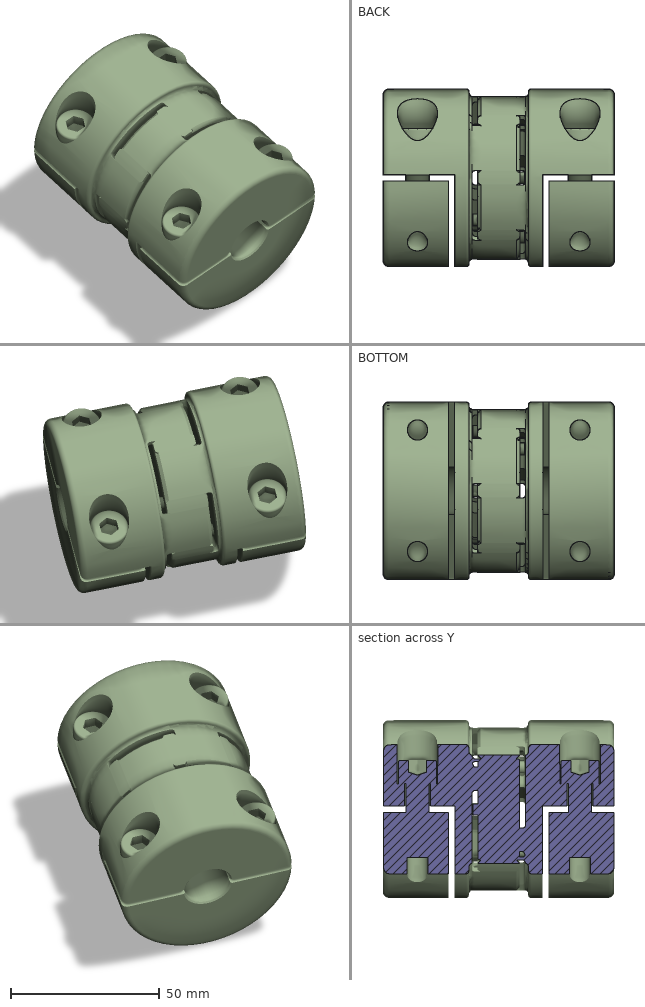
import math

import cadquery as cq

total_length = 78.0
hub_diameter = 60.0
body_diameter = 55.0
bore_diameter = 16.0
through_bore_diameter = 12.5
hub_radius = hub_diameter / 2
body_radius = body_diameter / 2
half_length = total_length / 2

body_face_x = 7.1
flange_face_x = 9.0
hub_shoulder_x = 10.0

outer_fillet = 2.0
shoulder_fillet = 1.0
root_fillet = hub_shoulder_x - flange_face_x
bore_chamfer = 0.5

slit_width = 2.0
clamp_width = 22.1
clamp_inner_x = half_length - clamp_width

screw_x = 27.4
screw_y = 20.5
head_top_z = 16.6
head_height = 8.0
seat_z = head_top_z - head_height
head_diameter = 13.0
head_edge = 0.7
counterbore_diameter = 13.5
clearance_diameter = 8.6
shank_diameter = 8.0
screw_length = 25.0
tapped_diameter = 6.8
hex_across_flats = 6.0
hex_depth = 4.0
drill_point_depth = 1.0

lobe_count = 4
lobe_step = 360.0 / lobe_count
ear_step = lobe_step / 2
ear_half_width = 2.4
lobe_corner_offset = 3.7
lobe_corner_radius = 26.0
lobe_wall_radius = 25.5
lobe_tip_radius = 19.5
lobe_base_fillet = 1.0
gap_overshoot = 1.0
body_chamfer = 1.1
ear_chamfer = 0.75
pin_diameter = 4.0
pin_circle_radius = 20.0
pin_length = 1.6


def x_cylinder(diameter, start, end):
    return cq.Workplane("YZ").workplane(offset=start).circle(diameter / 2).extrude(end - start)


def z_cylinder(diameter, bottom, top):
    return cq.Workplane("XY").workplane(offset=bottom).circle(diameter / 2).extrude(top - bottom)


def turn(shape, angle):
    return shape.rotate((0, 0, 0), (1, 0, 0), angle)


def on_spoke(across, radial, angle):
    """Point given across and along a spoke standing at an angle in the YZ plane."""
    a = math.radians(angle)
    return (radial * math.cos(a) - across * math.sin(a), radial * math.sin(a) + across * math.cos(a))


def make_hub():
    """Turned hub with rounded end, rounded shoulder and filleted flange on the +X side."""
    arc_part = math.sqrt(0.5)
    end_round = outer_fillet * (1 - arc_part)
    shoulder_round = shoulder_fillet * (1 - arc_part)
    root_mid = root_fillet * (1 - arc_part)
    profile = (
        cq.Workplane("XY")
        .moveTo(flange_face_x, 0)
        .lineTo(flange_face_x, body_radius)
        .threePointArc(
            (hub_shoulder_x - root_mid, body_radius + root_mid),
            (hub_shoulder_x, body_radius + root_fillet),
        )
        .lineTo(hub_shoulder_x, hub_radius - shoulder_fillet)
        .threePointArc(
            (hub_shoulder_x + shoulder_round, hub_radius - shoulder_round),
            (hub_shoulder_x + shoulder_fillet, hub_radius),
        )
        .lineTo(half_length - outer_fillet, hub_radius)
        .threePointArc(
            (half_length - end_round, hub_radius - end_round),
            (half_length, hub_radius - outer_fillet),
        )
        .lineTo(half_length, 0)
        .close()
    )
    return profile.revolve(360, (0, 0, 0), (1, 0, 0))


def cut_bore(hub):
    """Cut the clamp bore with its chamfered mouth and the narrower bore behind it."""
    hub = hub.cut(x_cylinder(through_bore_diameter, flange_face_x, half_length))
    hub = hub.cut(x_cylinder(bore_diameter, clamp_inner_x - slit_width, half_length))
    mouth = cq.Workplane("YZ").workplane(offset=half_length).circle(bore_diameter / 2 + bore_chamfer)
    mouth = mouth.workplane(offset=-bore_chamfer).circle(bore_diameter / 2).loft()
    return hub.cut(mouth)


def cut_slits(hub):
    """Cut the L-shaped slit that frees the lower half of the clamp."""
    level_length = clamp_width + slit_width
    level = cq.Workplane("XY").box(level_length, hub_diameter, slit_width, centered=(False, True, True))
    upright_height = hub_radius + slit_width / 2
    upright = (
        cq.Workplane("XY")
        .box(slit_width, hub_diameter, upright_height, centered=(False, True, False))
        .translate((0, 0, -hub_radius))
    )
    return hub.cut(level.union(upright).translate((clamp_inner_x - slit_width, 0, 0)))


def make_screw():
    """Socket head screw along Z, with its head on top."""
    head = z_cylinder(head_diameter, seat_z, head_top_z).faces(">Z").edges().fillet(head_edge)
    hex_corners = hex_across_flats / math.cos(math.radians(30))
    socket = (
        cq.Workplane("XY")
        .workplane(offset=head_top_z - hex_depth)
        .polygon(6, hex_corners)
        .extrude(hex_depth)
        .rotate((0, 0, 0), (0, 0, 1), 90)
    )
    point = cq.Solid.makeCone(
        hex_across_flats / 2,
        0,
        drill_point_depth,
        cq.Vector(0, 0, head_top_z - hex_depth),
        cq.Vector(0, 0, -1),
    )
    shank = z_cylinder(shank_diameter, seat_z - screw_length, seat_z)
    return head.union(shank).cut(socket).cut(cq.Workplane(obj=point))


def add_screws(hub):
    """Drill the two screw holes and set a screw in each, tying the clamp halves together."""
    hole = z_cylinder(counterbore_diameter, seat_z, hub_radius)
    hole = hole.union(z_cylinder(clearance_diameter, 0, seat_z))
    hole = hole.union(z_cylinder(tapped_diameter, -hub_radius, 0))
    screw = make_screw()
    for side in (-1, 1):
        place = (screw_x, side * screw_y, 0)
        hub = hub.cut(hole.translate(place)).union(screw.translate(place))
    return hub


def make_lobe():
    """Bridge from hub flange to body between the spokes at 0 and 45 degrees, oversize outside."""
    outline = (
        cq.Workplane("YZ")
        .workplane(offset=body_face_x)
        .moveTo(*on_spoke(ear_half_width, hub_radius, 0))
        .lineTo(*on_spoke(0, hub_radius, ear_step / 2))
        .lineTo(*on_spoke(-ear_half_width, hub_radius, ear_step))
        .lineTo(*on_spoke(-ear_half_width, lobe_wall_radius, ear_step))
        .lineTo(*on_spoke(-lobe_corner_offset, lobe_corner_radius, ear_step))
        .lineTo(*on_spoke(0, lobe_tip_radius, ear_step / 2))
        .lineTo(*on_spoke(lobe_corner_offset, lobe_corner_radius, 0))
        .lineTo(*on_spoke(ear_half_width, lobe_wall_radius, 0))
        .close()
    )
    return outline.extrude(flange_face_x - body_face_x)


def make_gap():
    """Open space between the body and the +X hub: a disc less its lobes and pins."""
    gap = x_cylinder(body_diameter + 2 * gap_overshoot, body_face_x, flange_face_x)
    lobe = make_lobe()
    pin = x_cylinder(pin_diameter, body_face_x, body_face_x + pin_length).translate((0, pin_circle_radius, 0))
    for index in range(lobe_count):
        gap = gap.cut(turn(lobe, index * lobe_step))
    gap = gap.faces(">X").edges().fillet(lobe_base_fillet)
    for index in range(lobe_count):
        gap = gap.cut(turn(pin, index * lobe_step + ear_step))
    return gap


def make_pocket_chamfer():
    """Chamfer of the body edge between the spokes at 0 and 45 degrees."""
    edge_angle = math.degrees(math.asin(ear_half_width / body_radius))
    section = (
        cq.Workplane("XY")
        .moveTo(body_face_x, body_radius - body_chamfer)
        .lineTo(body_face_x + body_chamfer, body_radius - body_chamfer)
        .lineTo(body_face_x + body_chamfer, hub_radius)
        .lineTo(body_face_x - body_chamfer - hub_radius + body_radius, hub_radius)
        .close()
    )
    return turn(section.revolve(ear_step - 2 * edge_angle, (0, 0, 0), (1, 0, 0)), edge_angle)


def make_ear_chamfer():
    """Chamfer on the side of the ear at 0 degrees."""
    section = (
        cq.Workplane("XZ")
        .workplane(offset=-hub_radius)
        .moveTo(body_face_x, ear_half_width - ear_chamfer)
        .lineTo(body_face_x, ear_half_width)
        .lineTo(body_face_x - body_chamfer, ear_half_width)
        .close()
    )
    return section.extrude(hub_radius - body_radius + body_chamfer)


def cut_gap(middle):
    """Cut one gap and chamfer the ears and the open pockets of the body beside it."""
    middle = middle.cut(make_gap())
    pocket_chamfer = make_pocket_chamfer()
    ear_side = make_ear_chamfer()
    for index in range(lobe_count):
        middle = middle.cut(turn(pocket_chamfer, index * lobe_step + ear_step))
    for index in range(2 * lobe_count):
        middle = middle.cut(turn(ear_side, index * ear_step))
        middle = middle.cut(turn(ear_side.mirror("XY"), index * ear_step))
    return middle


def make_middle():
    """Middle body with its lobes; the pattern at -X stands one ear step from that at +X."""
    middle = x_cylinder(body_diameter, -flange_face_x, flange_face_x)
    middle = middle.cut(x_cylinder(through_bore_diameter, -flange_face_x, flange_face_x))
    middle = cut_gap(middle)
    middle = turn(middle.mirror("YZ"), ear_step)
    return cut_gap(middle)


hub = add_screws(cut_slits(cut_bore(make_hub())))
result = make_middle().union(hub).union(hub.mirror("YZ"))